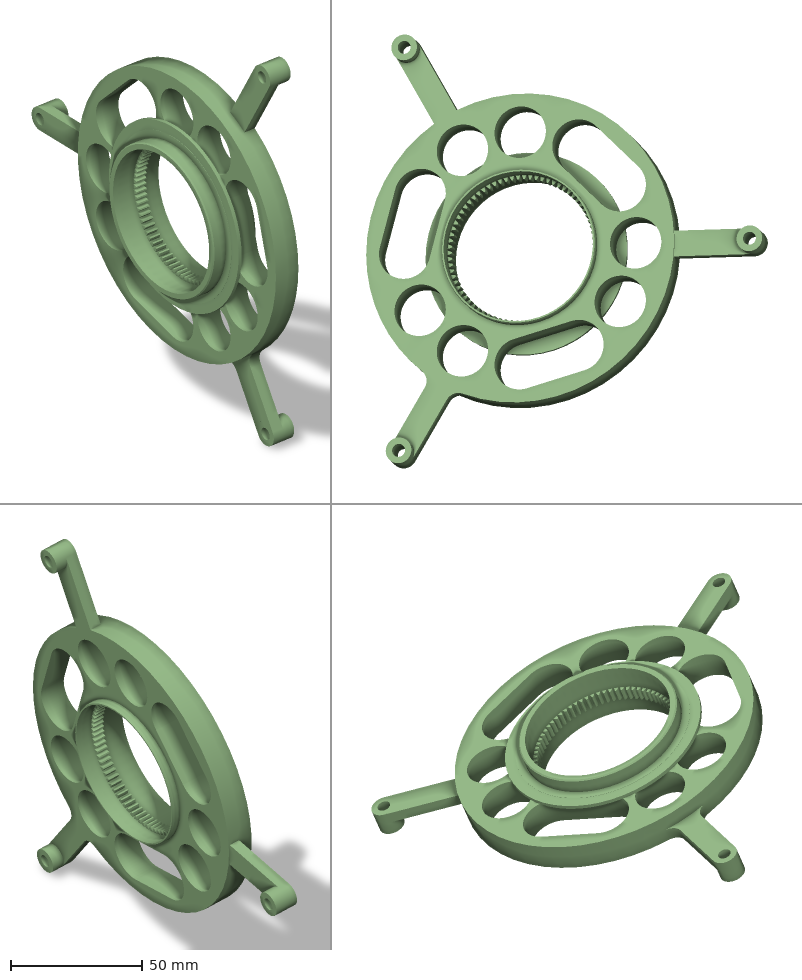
import cadquery as cq
import math


WHEEL_DIA = 120.0
WHEEL_THICKNESS = 11.0
POCKET_DIA = 20.0
POCKET_CIRCLE_RADIUS = 45.0
POCKET_PITCH = 30.0
SLOT_START_ANGLES = (0.0, 120.0, 240.0)
ROUND_POCKET_ANGLES = (60.0, 90.0, 180.0, 210.0, 300.0, 330.0)

POST_CIRCLE_RADIUS = 90.4
POST_DIA = 10.0
POST_LENGTH = 10.0
POST_HOLE_DIA = 5.0
ARM_WIDTH = POST_DIA
ARM_START_RADIUS = POCKET_CIRCLE_RADIUS + POCKET_DIA / 2
ARM_FRONT = 5.0
ARM_THICKNESS = 5.0
THIN_ARM_THICKNESS = 4.5
PLAIN_ARM_ANGLE = 60.8
THIN_ARM_ANGLE = PLAIN_ARM_ANGLE + 120.0
FILLETED_ARM_ANGLE = PLAIN_ARM_ANGLE + 240.0
ARM_THICKNESS_AT_ANGLE = {
    PLAIN_ARM_ANGLE: ARM_THICKNESS,
    THIN_ARM_ANGLE: THIN_ARM_THICKNESS,
    FILLETED_ARM_ANGLE: ARM_THICKNESS,
}
ARM_ROOT_FILLET = 5.0

FLANGE_DIA = 78.5
FLANGE_THICKNESS = 1.5
LAND_DIA = 70.0
LAND_HEIGHT = 0.1

HUB_BORE_DIA = 58.2
HUB_LENGTH = 22.2
FRONT_COLLAR_DIA = 63.5
FRONT_COLLAR_CHAMFER = 0.5
BACK_COLLAR_DIA = 60.0
BACK_COLLAR_LENGTH = 3.5
BACK_CHAMFER_LENGTH = 1.0
BACK_CHAMFER_WIDTH = 0.3
HUB_FRONT = HUB_LENGTH - BACK_COLLAR_LENGTH

TOOTH_COUNT = 75
FIRST_TOOTH_ANGLE = 0.25
TOOTH_TIP_RADIUS = 27.45
TOOTH_TIP_WIDTH = 0.6
TOOTH_ROOT_WIDTH = 1.8
TOOTH_EMBED = 0.2
TEETH_SETBACK = 10.0
TEETH_LENGTH = 5.0


def at_depth(depth):
    """Workplane at the given depth, local x = X, local y = Z, extruding toward the back."""
    return cq.Workplane("XZ", origin=(0, -depth, 0))


def turn(body, angle):
    """Rotate a body about the Y axis, from +X toward +Z."""
    return body.rotate((0, 0, 0), (0, -1, 0), angle)


def round_pocket(angle):
    pocket = at_depth(WHEEL_THICKNESS).center(POCKET_CIRCLE_RADIUS, 0)
    return turn(pocket.circle(POCKET_DIA / 2).extrude(-WHEEL_THICKNESS), angle)


def slot_pocket(start_angle):
    """Straight slot joining two neighbouring pocket positions."""
    half_pitch = math.radians(POCKET_PITCH / 2)
    centre_distance = 2 * POCKET_CIRCLE_RADIUS * math.sin(half_pitch)
    slot = (
        at_depth(WHEEL_THICKNESS)
        .center(POCKET_CIRCLE_RADIUS * math.cos(half_pitch), 0)
        .slot2D(centre_distance + POCKET_DIA, POCKET_DIA, 90)
        .extrude(-WHEEL_THICKNESS)
    )
    return turn(slot, start_angle + POCKET_PITCH / 2)


def arm(angle, thickness):
    """Radial bar from inside the wheel rim to the axis of its post."""
    length = POST_CIRCLE_RADIUS - ARM_START_RADIUS
    bar = (
        at_depth(ARM_FRONT)
        .center(ARM_START_RADIUS + length / 2, 0)
        .rect(length, ARM_WIDTH)
        .extrude(-thickness)
    )
    return turn(bar, angle)


def post_envelope(angle):
    """Solid cylinder filling the place of a post."""
    post = at_depth(ARM_FRONT).center(POST_CIRCLE_RADIUS, 0).circle(POST_DIA / 2)
    return turn(post.extrude(-POST_LENGTH), angle)


def arm_root_fillet(angle):
    """Filler on both sides of an arm, hollowed by arcs tangent to the arm and to the rim."""
    rim_radius = WHEEL_DIA / 2
    arc_offset = ARM_WIDTH / 2 + ARM_ROOT_FILLET
    arc_centre = math.sqrt((rim_radius + ARM_ROOT_FILLET) ** 2 - arc_offset ** 2)
    rim_share = rim_radius / (rim_radius + ARM_ROOT_FILLET)
    rim_point = (arc_centre * rim_share, arc_offset * rim_share)
    filler = (
        at_depth(ARM_FRONT)
        .moveTo(ARM_START_RADIUS, -rim_point[1])
        .lineTo(rim_point[0], -rim_point[1])
        .lineTo(arc_centre, -ARM_WIDTH / 2)
        .lineTo(arc_centre, ARM_WIDTH / 2)
        .lineTo(*rim_point)
        .lineTo(ARM_START_RADIUS, rim_point[1])
        .close()
        .extrude(-ARM_THICKNESS)
    )
    arcs = (
        at_depth(ARM_FRONT)
        .pushPoints([(arc_centre, arc_offset), (arc_centre, -arc_offset)])
        .circle(ARM_ROOT_FILLET)
        .extrude(-ARM_THICKNESS)
    )
    return turn(filler.cut(arcs), angle)


def wheel_and_hub():
    """Wheel disc, flange, land and both collars as one turned shape with a through bore."""
    bore_radius = HUB_BORE_DIA / 2
    wheel_radius = WHEEL_DIA / 2
    flange_radius = FLANGE_DIA / 2
    land_radius = LAND_DIA / 2
    front_radius = FRONT_COLLAR_DIA / 2
    back_radius = BACK_COLLAR_DIA / 2
    flange_front = WHEEL_THICKNESS + FLANGE_THICKNESS
    land_front = flange_front + LAND_HEIGHT
    return (
        cq.Workplane("XY")
        .moveTo(bore_radius, -HUB_FRONT)
        .lineTo(front_radius - FRONT_COLLAR_CHAMFER, -HUB_FRONT)
        .lineTo(front_radius, FRONT_COLLAR_CHAMFER - HUB_FRONT)
        .lineTo(front_radius, -land_front)
        .lineTo(land_radius, -land_front)
        .lineTo(land_radius, -flange_front)
        .lineTo(flange_radius, -flange_front)
        .lineTo(flange_radius, -WHEEL_THICKNESS)
        .lineTo(wheel_radius, -WHEEL_THICKNESS)
        .lineTo(wheel_radius, 0)
        .lineTo(back_radius, 0)
        .lineTo(back_radius, BACK_COLLAR_LENGTH - BACK_CHAMFER_LENGTH)
        .lineTo(back_radius - BACK_CHAMFER_WIDTH, BACK_COLLAR_LENGTH)
        .lineTo(bore_radius, BACK_COLLAR_LENGTH)
        .close()
        .revolve(360, (0, 0, 0), (0, 1, 0))
    )


def internal_teeth():
    """List of tooth solids with straight flanks, rooted in the hub wall."""
    root_radius = HUB_BORE_DIA / 2
    half_root = TOOTH_ROOT_WIDTH / 2
    half_tip = TOOTH_TIP_WIDTH / 2
    tooth = (
        at_depth(HUB_FRONT - TEETH_SETBACK)
        .moveTo(TOOTH_TIP_RADIUS, -half_tip)
        .lineTo(root_radius, -half_root)
        .lineTo(root_radius + TOOTH_EMBED, -half_root)
        .lineTo(root_radius + TOOTH_EMBED, half_root)
        .lineTo(root_radius, half_root)
        .lineTo(TOOTH_TIP_RADIUS, half_tip)
        .close()
        .extrude(-TEETH_LENGTH)
    )
    pitch = 360 / TOOTH_COUNT
    return [turn(tooth, FIRST_TOOTH_ANGLE + index * pitch).val() for index in range(TOOTH_COUNT)]


def make_frame():
    """Wheel with hub, teeth and arms; the arm ends are hollowed to seat the posts."""
    frame = wheel_and_hub()
    for angle, thickness in ARM_THICKNESS_AT_ANGLE.items():
        frame = frame.union(arm(angle, thickness))
        frame = frame.cut(post_envelope(angle))
    frame = frame.union(arm_root_fillet(FILLETED_ARM_ANGLE))
    for angle in ROUND_POCKET_ANGLES:
        frame = frame.cut(round_pocket(angle))
    for angle in SLOT_START_ANGLES:
        frame = frame.cut(slot_pocket(angle))
    return cq.Workplane(frame.val().fuse(*internal_teeth())).solids()


def make_post(angle):
    """Tubular post at the end of an arm, flush with the front face of the arm."""
    hole = at_depth(ARM_FRONT).center(POST_CIRCLE_RADIUS, 0).circle(POST_HOLE_DIA / 2)
    return post_envelope(angle).cut(turn(hole.extrude(-POST_LENGTH), angle))


frame = make_frame()
posts = [make_post(angle) for angle in ARM_THICKNESS_AT_ANGLE]

result = cq.Compound.makeCompound([frame.val(), *[post.val() for post in posts]])